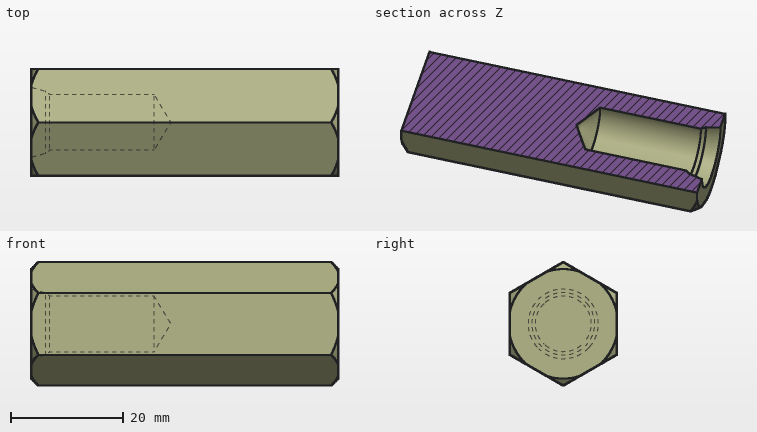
import cadquery as cq
import math

length = 54.6
across_flats = 19.05
corner_radius = across_flats / 2 / math.cos(math.radians(30))

end_chamfer = 1.25
end_face_radius = corner_radius - end_chamfer

mouth_radius = 6.2
land_radius = 5.55
bore_radius = 4.95
mouth_depth = 2.35
land_width = 0.15
step_length = 0.75
bore_depth = 21.85
drill_point_angle = 118.0
drill_point_depth = bore_radius / math.tan(math.radians(drill_point_angle / 2))


def revolve_about_x(points):
    """Revolve an (x, radius) outline about the X axis."""
    return cq.Workplane("XY").polyline(points).close().revolve(360, (0, 0, 0), (1, 0, 0))


def hexagonal_bar():
    """Hexagonal prism with two of its corners pointing along Z."""
    corners = []
    for index in range(6):
        angle = math.radians(90 + 60 * index)
        corners.append((corner_radius * math.cos(angle), corner_radius * math.sin(angle)))
    return cq.Workplane("YZ").polyline(corners).close().extrude(length)


def chamfer_envelope():
    """Turned cylinder whose chamfered ends trim the hexagon corners."""
    return revolve_about_x([
        (0, 0),
        (0, end_face_radius),
        (end_chamfer, corner_radius),
        (length - end_chamfer, corner_radius),
        (length, end_face_radius),
        (length, 0),
    ])


def blind_bore():
    """Solid that removes the stepped bore."""
    return revolve_about_x([
        (0, 0),
        (0, mouth_radius),
        (mouth_depth, land_radius),
        (mouth_depth + land_width, land_radius),
        (mouth_depth + land_width + step_length, bore_radius),
        (bore_depth, bore_radius),
        (bore_depth + drill_point_depth, 0),
    ])


result = hexagonal_bar().intersect(chamfer_envelope()).cut(blind_bore())